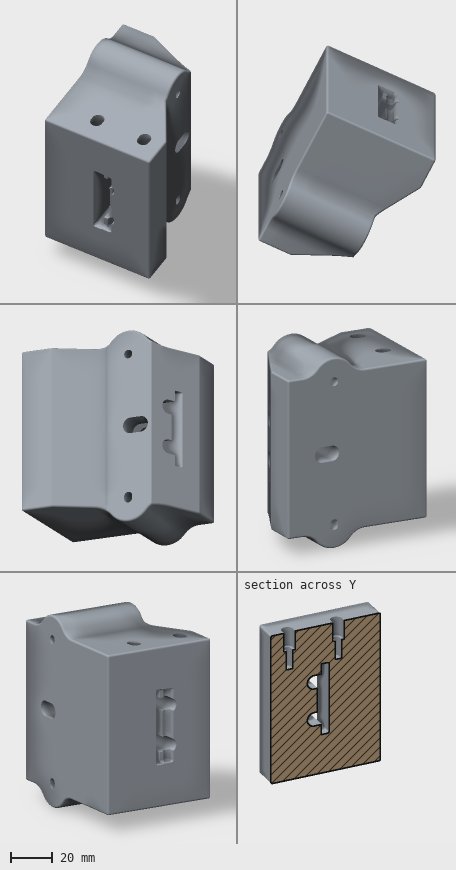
import cadquery as cq
import math

width = 58.35
depth = 75.65
body_height = 80.0
edge_radius = 1.0

lobe_y = depth - 25.0
screw_z = 36.0
lobe_radius = 12.0
blend_radius = 10.0

back_width = 17.5
shoulder_x = 45.0
shoulder_rear_y = 63.0
shoulder_front_y = 39.3
front_side_depth = 16.5

screw_diameter = 4.3
screw_slot_length = 5.3
cable_slot_y = 54.5
cable_slot_length = 13.2
cable_slot_height = 7.8

top_slot_xs = (22.35, 48.35)
top_slot_y = 12.15
head_slot_width = 6.0
head_slot_length = 7.8
head_slot_depth = 10.0
shank_slot_width = 3.2
shank_slot_front_y = 9.65
shank_slot_depth = 10.0

opening_left = 27.3
opening_height = 37.9
opening_width = 4.1
opening_corner_radius = 0.9
bore_radius = 3.5
bore_x = 35.25
bore_z = 10.0
web_x = 33.6
recess_right = 37.1
recess_height = 37.3
recess_depth = 3.0
recess_end_radius = 1.1
web_recess_height = 12.2
web_recess_depth = 4.68


def box_between(x0, x1, y0, y1, z0, z1):
    """Box given by its lower and upper limits along each axis."""
    return cq.Workplane("XY").box(x1 - x0, y1 - y0, z1 - z0, centered=False).translate((x0, y0, z0))


def side_profile():
    """Rectangle with a rounded lobe, blended by tangent arcs, on the top and the bottom."""
    half = body_height / 2
    reach = lobe_radius + blend_radius
    blend_z = half + blend_radius
    blend_dy = math.sqrt(reach**2 - (blend_z - screw_z) ** 2)
    share = lobe_radius / reach
    tangent_dy = share * blend_dy
    tangent_z = screw_z + share * (blend_z - screw_z)
    mid_angle = (math.pi / 2 + math.atan2(blend_z - screw_z, blend_dy)) / 2
    mid_dy = blend_dy - blend_radius * math.cos(mid_angle)
    mid_z = blend_z - blend_radius * math.sin(mid_angle)

    def add_lobe(outline, side):
        """Trace the lobe from low to high Y on the top (side = 1), and back on the bottom (-1)."""

        def point(dy, z):
            return (lobe_y + side * dy, side * z)

        return (
            outline.lineTo(*point(-blend_dy, half))
            .threePointArc(point(-mid_dy, mid_z), point(-tangent_dy, tangent_z))
            .threePointArc(point(0, screw_z + lobe_radius), point(tangent_dy, tangent_z))
            .threePointArc(point(mid_dy, mid_z), point(blend_dy, half))
        )

    outline = add_lobe(cq.Workplane("YZ").moveTo(0, half), 1)
    outline = outline.lineTo(depth, half).lineTo(depth, -half)
    return add_lobe(outline, -1).lineTo(0, -half).close()


def make_body():
    """Side profile cut to the plan outline, with every outer edge but the blunt upright ones rounded."""
    full_height = 2 * (screw_z + lobe_radius)
    plan = [
        (0, 0),
        (width, 0),
        (width, front_side_depth),
        (shoulder_x, shoulder_front_y),
        (shoulder_x, shoulder_rear_y),
        (back_width, depth),
        (0, depth),
    ]
    plan_prism = cq.Workplane("XY").polyline(plan).close().extrude(full_height / 2, both=True)
    body = side_profile().extrude(width).intersect(plan_prism)
    outer_edges = body.faces("<X or >X or <Y or >Y").edges("not |Z")
    shoulder_box = cq.selectors.BoxSelector((back_width, front_side_depth, -1), (width, depth, 1))
    shoulder_edges = body.faces(shoulder_box).edges("not |Z")
    upright_edges = body.edges("|Z and (<X or <Y)")
    rounded = outer_edges.vals() + shoulder_edges.vals() + upright_edges.vals()
    return body.newObject(rounded).fillet(edge_radius)


def x_slot(y, z, length, height, along_z=False):
    """Round-ended slot cutter running through the whole width, long in Y or in Z."""
    angle = 90 if along_z else 0
    return cq.Workplane("YZ").center(y, z).slot2D(length, height, angle).extrude(width)


def cut_screw_holes(body):
    """Round hole in the top lobe and a vertical slot in the bottom one."""
    hole = cq.Workplane("YZ").center(lobe_y, screw_z).circle(screw_diameter / 2).extrude(width)
    slot = x_slot(lobe_y, -screw_z, screw_slot_length, screw_diameter, along_z=True)
    return body.cut(hole).cut(slot)


def cut_cable_slot(body):
    return body.cut(x_slot(cable_slot_y, 0, cable_slot_length, cable_slot_height))


def sunk_slot(x, y, length, slot_width, z_top, slot_depth):
    """Round-ended slot cutter, long in Y, reaching down from z_top."""
    outline = cq.Workplane("XY", origin=(x, y, z_top)).slot2D(length, slot_width, 90)
    return outline.extrude(-slot_depth)


def cut_top_slots(body):
    """Wide slots with a narrower slot below that runs on under their rear end."""
    top = body_height / 2
    shank_rear_y = top_slot_y + head_slot_length / 2 + shank_slot_width / 2
    shank_length = shank_rear_y - shank_slot_front_y
    shank_y = (shank_rear_y + shank_slot_front_y) / 2
    shank_top = top - head_slot_depth
    for x in top_slot_xs:
        body = body.cut(sunk_slot(x, top_slot_y, head_slot_length, head_slot_width, top, head_slot_depth))
        body = body.cut(sunk_slot(x, shank_y, shank_length, shank_slot_width, shank_top, shank_slot_depth))
    return body


def make_recess():
    """Shallow recess whose floor drops into a half-round groove along the right wall."""
    half = recess_height / 2
    groove_radius = recess_right - bore_x
    groove_left = bore_x - groove_radius
    floor = box_between(opening_left, groove_left, 0, recess_depth, -half, half)
    floor = floor.edges(">Y and |X").fillet(recess_end_radius)
    entry = box_between(groove_left, recess_right, 0, recess_depth, -half, half)
    entry = entry.edges(">X and |Y").fillet(recess_end_radius)
    groove_end = cq.Workplane("XY", origin=(bore_x, recess_depth, -half)).circle(groove_radius)
    groove = groove_end.extrude(recess_height)
    groove = groove.faces("<Z or >Z").edges().fillet(recess_end_radius)
    return floor.union(entry).union(groove)


def cut_connector_opening(body):
    """Slot and two bores through the depth, with a grooved recess at the front."""
    half = opening_height / 2
    through = box_between(opening_left, opening_left + opening_width, 0, depth, -half, half)
    through = through.edges("<X and |Y").fillet(opening_corner_radius)
    web = box_between(opening_left, web_x, 0, depth, -bore_z, bore_z)
    body = body.cut(through).cut(web)
    for z in (-bore_z, bore_z):
        channel = box_between(opening_left, bore_x, 0, depth, z - bore_radius, z + bore_radius)
        bore = cq.Workplane("XZ", origin=(bore_x, 0, z)).circle(bore_radius).extrude(-depth)
        body = body.cut(channel).cut(bore)
    half = web_recess_height / 2
    web_recess = box_between(opening_left, bore_x, 0, web_recess_depth, -half, half)
    return body.cut(make_recess()).cut(web_recess)


result = make_body()
result = cut_screw_holes(result)
result = cut_cable_slot(result)
result = cut_top_slots(result)
result = cut_connector_opening(result)